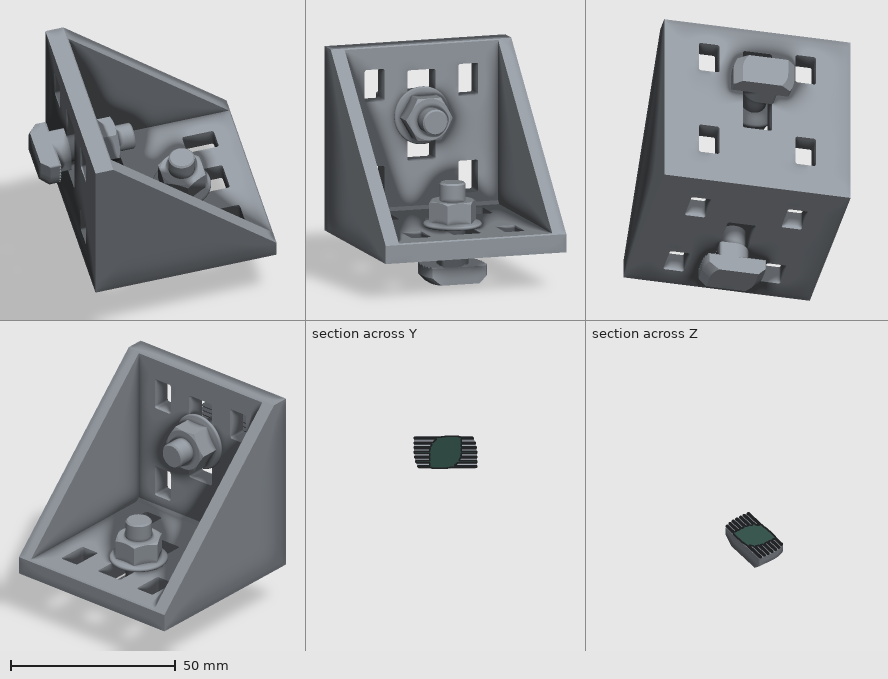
import cadquery as cq
import math


OVERALL_LENGTH = 68.3

BRACKET_WIDTH = 58.0
LEG_LENGTH = 56.95
LEG_END = 5.6
PLATE_THICKNESS = 6.0
SIDE_WALL = 4.4
INNER_CHAMFER = 1.0
CORNER_SLOT_WIDTH = 6.35
CORNER_SLOT_LENGTH = 10.0
CORNER_SLOT_X = 15.0
CORNER_SLOT_POSITIONS = (15.0, 44.95)
BOLT_SLOT_WIDTH = 9.0
BOLT_SLOT_LENGTH = 28.0
SLOT_CORNER_RADIUS = 0.7
BOLT_POSITION = 35.0

SHANK_DIAMETER = 8.0
SHANK_TIP_DIAMETER = 7.05
SHANK_STICKOUT = 13.5
NECK_DEPTH = 0.95
TEETH_TOP = 5.4
BOLT_DEPTH = OVERALL_LENGTH - LEG_LENGTH
HEAD_LENGTH = 19.0
HEAD_DEPTH = 9.8
HEAD_CHAMFER = 2.45
HEAD_CORNER_RADIUS = 0.55
NECK_CORNER_RADIUS = 1.0
TOOTH_VALLEYS = 8
TOOTH_PITCH = 1.45
TOOTH_DEPTH = TOOTH_PITCH / 2

NUT_HEIGHT = 8.0
HEX_SIDES = 6
NUT_ACROSS_FLATS = 13.0
NUT_TOP_DIAMETER = 12.85
NUT_CHAMFER_ANGLE = 30.0
FLANGE_DIAMETER = 17.9
FLANGE_SLOPE_ANGLE = 15.0
FLANGE_RIM_RADIUS = 0.6


def slot_cutter(width, length, x, position):
    """Rounded rectangle through a plate lying on z = 0, long side along y."""
    return (
        cq.Workplane("XY")
        .center(x, position)
        .rect(width, length)
        .extrude(PLATE_THICKNESS)
        .edges("|Z")
        .fillet(SLOT_CORNER_RADIUS)
    )


def plate_slots():
    """All slots of the plate lying on z = 0."""
    slots = slot_cutter(BOLT_SLOT_WIDTH, BOLT_SLOT_LENGTH, 0, BOLT_POSITION)
    for x in (-CORNER_SLOT_X, CORNER_SLOT_X):
        for position in CORNER_SLOT_POSITIONS:
            slots = slots.union(slot_cutter(CORNER_SLOT_WIDTH, CORNER_SLOT_LENGTH, x, position))
    return slots


def make_bracket():
    """Two plates at right angles, joined by a triangular wall at each side."""
    body = (
        cq.Workplane("YZ")
        .lineTo(LEG_LENGTH, 0)
        .lineTo(LEG_LENGTH, LEG_END)
        .lineTo(LEG_END, LEG_LENGTH)
        .lineTo(0, LEG_LENGTH)
        .close()
        .extrude(BRACKET_WIDTH / 2, both=True)
    )
    chamfer_end = PLATE_THICKNESS + INNER_CHAMFER
    pocket = (
        cq.Workplane("YZ")
        .moveTo(chamfer_end, PLATE_THICKNESS)
        .lineTo(LEG_LENGTH, PLATE_THICKNESS)
        .lineTo(LEG_LENGTH, LEG_LENGTH)
        .lineTo(PLATE_THICKNESS, LEG_LENGTH)
        .lineTo(PLATE_THICKNESS, chamfer_end)
        .close()
        .extrude(BRACKET_WIDTH / 2 - SIDE_WALL, both=True)
    )
    floor_slots = plate_slots()
    upright_slots = floor_slots.rotate((0, 0, 0), (1, 0, 0), 90).mirror("XZ")
    return body.cut(pocket).cut(floor_slots).cut(upright_slots)


def bolt_shank():
    """Round shank from the top of the neck to its chamfered tip."""
    length = NECK_DEPTH + PLATE_THICKNESS + SHANK_STICKOUT
    return (
        cq.Workplane("XY")
        .workplane(offset=-NECK_DEPTH)
        .circle(SHANK_DIAMETER / 2)
        .extrude(length)
        .faces(">Z")
        .chamfer((SHANK_DIAMETER - SHANK_TIP_DIAMETER) / 2)
    )


def bolt_neck():
    """Square neck with two opposite corners fully rounded and the other two eased."""
    half = HEAD_DEPTH / 2
    flat_end = half - NECK_CORNER_RADIUS
    big_mid = half * math.sqrt(0.5)
    small_mid = flat_end + NECK_CORNER_RADIUS * math.sqrt(0.5)
    return (
        cq.Workplane("XY")
        .workplane(offset=-BOLT_DEPTH + HEAD_CHAMFER)
        .moveTo(0, -half)
        .threePointArc((big_mid, -big_mid), (half, 0))
        .lineTo(half, flat_end)
        .threePointArc((small_mid, small_mid), (flat_end, half))
        .lineTo(0, half)
        .threePointArc((-big_mid, big_mid), (-half, 0))
        .lineTo(-half, -flat_end)
        .threePointArc((-small_mid, -small_mid), (-flat_end, -half))
        .close()
        .extrude(BOLT_DEPTH - HEAD_CHAMFER - NECK_DEPTH)
    )


def head_teeth_cutter():
    """V grooves along x that leave pointed teeth on the clamping side of the head."""
    first_valley = -TOOTH_PITCH * (TOOTH_VALLEYS - 1) / 2
    grooves = cq.Workplane("YZ")
    for index in range(TOOTH_VALLEYS):
        valley = first_valley + index * TOOTH_PITCH
        grooves = grooves.polyline(
            [
                (valley - TOOTH_PITCH / 2, -TEETH_TOP),
                (valley, -TEETH_TOP - TOOTH_DEPTH),
                (valley + TOOTH_PITCH / 2, -TEETH_TOP),
            ]
        ).close()
    return grooves.extrude(HEAD_LENGTH, both=True)


def bolt_head():
    """Hammer head: two opposite corners rounded about the bolt axis, ends chamfered below."""
    radius = HEAD_LENGTH / 2
    half = HEAD_DEPTH / 2
    arc_angle = math.asin(half / radius)
    arc_end = radius * math.cos(arc_angle)
    arc_mid = (radius * math.cos(arc_angle / 2), radius * math.sin(arc_angle / 2))
    head = (
        cq.Workplane("XY")
        .workplane(offset=-BOLT_DEPTH)
        .moveTo(radius, -half)
        .lineTo(radius, 0)
        .threePointArc(arc_mid, (arc_end, half))
        .lineTo(-radius, half)
        .lineTo(-radius, 0)
        .threePointArc((-arc_mid[0], -arc_mid[1]), (-arc_end, -half))
        .close()
        .extrude(BOLT_DEPTH - TEETH_TOP)
    )
    head = head.faces("<Z").edges("not(<Y or >Y)").chamfer(HEAD_CHAMFER)
    square_corners = head.edges("|Z").edges("<(1,-1,0) or >(1,-1,0)")
    head = square_corners.fillet(HEAD_CORNER_RADIUS)
    return head.cut(head_teeth_cutter())


def make_bolt():
    """Bolt on the z axis with its head down and z = 0 at the outer plate face."""
    return bolt_head().union(bolt_neck()).union(bolt_shank())


def make_nut():
    """Flange nut on the z axis, seated on z = 0."""
    hex_radius = NUT_ACROSS_FLATS / 2 / math.cos(math.pi / HEX_SIDES)
    slope = math.radians(FLANGE_SLOPE_ANGLE)
    rim_center = FLANGE_DIAMETER / 2 - FLANGE_RIM_RADIUS
    rim_top = (
        rim_center + FLANGE_RIM_RADIUS * math.sin(slope),
        FLANGE_RIM_RADIUS * (1 + math.cos(slope)),
    )
    flange = (
        cq.Workplane("XZ")
        .moveTo(0, 0)
        .lineTo(rim_center, 0)
        .threePointArc((FLANGE_DIAMETER / 2, FLANGE_RIM_RADIUS), rim_top)
        .lineTo(0, rim_top[1] + rim_top[0] * math.tan(slope))
        .close()
        .revolve(360, (0, 0), (0, 1))
    )

    top_radius = NUT_TOP_DIAMETER / 2
    chamfer_drop = (hex_radius - top_radius) * math.tan(math.radians(NUT_CHAMFER_ANGLE))
    chamfer_envelope = (
        cq.Workplane("XZ")
        .lineTo(hex_radius, 0)
        .lineTo(hex_radius, NUT_HEIGHT - chamfer_drop)
        .lineTo(top_radius, NUT_HEIGHT)
        .lineTo(0, NUT_HEIGHT)
        .close()
        .revolve(360, (0, 0), (0, 1))
    )
    hexagon = cq.Workplane("XY").polygon(HEX_SIDES, 2 * hex_radius).extrude(NUT_HEIGHT)
    bore = cq.Workplane("XY").circle(SHANK_DIAMETER / 2).extrude(NUT_HEIGHT)
    return hexagon.intersect(chamfer_envelope).union(flange).cut(bore)


def place_on_floor(body):
    """Move a body from the z axis to the bolt axis of the floor plate."""
    return body.translate((0, BOLT_POSITION, 0))


def place_on_upright(body):
    """Turn a body from the z axis onto the bolt axis of the upright plate."""
    return body.rotate((0, 0, 0), (1, 0, 0), -90).translate((0, 0, BOLT_POSITION))


bracket = make_bracket()
bolts = []
nuts = []
for place in (place_on_floor, place_on_upright):
    bolts.append(place(make_bolt()))
    nuts.append(place(make_nut().translate((0, 0, PLATE_THICKNESS))))

result = cq.Compound.makeCompound(
    [bracket.val()] + [bolt.val() for bolt in bolts] + [nut.val() for nut in nuts]
)